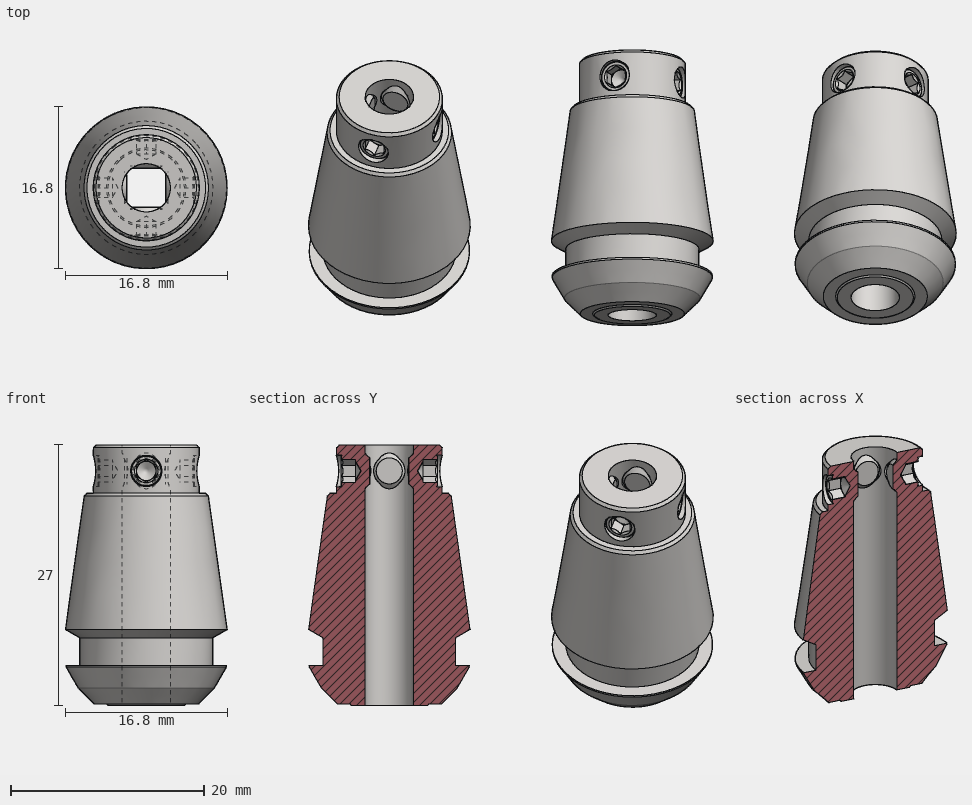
import cadquery as cq
import math

height = 27.0
collar_base_z = 22.0
taper_base_z = 7.88
flange_top_z = 4.18
nose_break_z = 1.8
lip_height = 0.15
flange_rim = 0.2

collar_r = 11.0 / 2
taper_max_r = 16.77 / 2
neck_r = 13.8 / 2
flange_r = 16.6 / 2
lip_r = 4.1
bore_r = 5.0 / 2

edge_chamfer = 0.3
taper_angle = 8.0
back_angle = 30.0
nose_angle = 30.0

screw_count = 4
screw_z = 24.3
screw_hole_r = 3.25 / 2
screw_r = 4.0 / 2
screw_inner_end = 2.0
screw_outer_end = 5.0
screw_tip_r = 1.35
screw_head_r = 1.5

socket_flats = 2.0
socket_depth = 1.48
socket_mouth_r = 1.22
drill_point_half_angle = 60.0


def tan_deg(angle):
    return math.tan(math.radians(angle))


def make_body():
    """Turned body: nose, flange, neck groove, taper and collar, with a through bore."""
    shoulder_z = collar_base_z - edge_chamfer
    taper_min_r = taper_max_r - (shoulder_z - taper_base_z) * tan_deg(taper_angle)
    groove_top_z = taper_base_z - (taper_max_r - neck_r) * tan_deg(back_angle)
    flange_base_z = flange_top_z - flange_rim
    nose_break_r = flange_r - (flange_base_z - nose_break_z) * tan_deg(nose_angle)
    nose_end_r = nose_break_r - (nose_break_z - lip_height)
    profile = [
        (bore_r, 0),
        (lip_r - lip_height, 0),
        (lip_r, lip_height),
        (nose_end_r, lip_height),
        (nose_break_r, nose_break_z),
        (flange_r, flange_base_z),
        (flange_r, flange_top_z),
        (neck_r, flange_top_z),
        (neck_r, groove_top_z),
        (taper_max_r, taper_base_z),
        (taper_min_r, shoulder_z),
        (taper_min_r - edge_chamfer, collar_base_z),
        (collar_r, collar_base_z),
        (collar_r, height - edge_chamfer),
        (collar_r - edge_chamfer, height),
        (bore_r, height),
    ]
    return cq.Workplane("XZ").polyline(profile).close().revolve()


def revolve_about_x(points):
    """Solid of revolution about the X axis from (x, radius) points."""
    return cq.Workplane("XY").polyline(points).close().revolve(360, (0, 0), (1, 0))


def make_socket():
    """Hexagon socket along X with a drill point in its floor and a countersunk mouth."""
    corner_r = socket_flats / math.sqrt(3)
    drill_r = socket_flats / 2
    floor_x = screw_outer_end - socket_depth
    point_x = floor_x - drill_r / tan_deg(drill_point_half_angle)
    hexagon = (
        cq.Workplane("YZ", origin=(floor_x, 0, 0))
        .polygon(6, 2 * corner_r)
        .extrude(socket_depth)
        .rotate((0, 0, 0), (1, 0, 0), 90)
    )
    drill_point = revolve_about_x([
        (point_x, 0),
        (floor_x, drill_r),
        (floor_x, 0),
    ])
    mouth = revolve_about_x([
        (screw_outer_end - socket_mouth_r, 0),
        (screw_outer_end, socket_mouth_r),
        (screw_outer_end, 0),
    ])
    return hexagon.union(drill_point).union(mouth)


def make_screw():
    """Set screw along +X with 45 degree chamfers on both ends."""
    tip_chamfer = screw_r - screw_tip_r
    head_chamfer = screw_r - screw_head_r
    blank = revolve_about_x([
        (screw_inner_end, 0),
        (screw_inner_end, screw_tip_r),
        (screw_inner_end + tip_chamfer, screw_r),
        (screw_outer_end - head_chamfer, screw_r),
        (screw_outer_end, screw_head_r),
        (screw_outer_end, 0),
    ])
    return blank.cut(make_socket())


def place_on_collar(shape, index):
    """Lift a shape lying along +X to the screw level and turn it to its position."""
    turn = index * 360 / screw_count
    return shape.translate((0, 0, screw_z)).rotate((0, 0, 0), (0, 0, 1), turn)


screw_hole = cq.Workplane("YZ").circle(screw_hole_r).extrude(collar_r)
screw = make_screw()
body = make_body()
for i in range(screw_count):
    body = body.cut(place_on_collar(screw_hole, i))
    body = body.union(place_on_collar(screw, i))

result = body